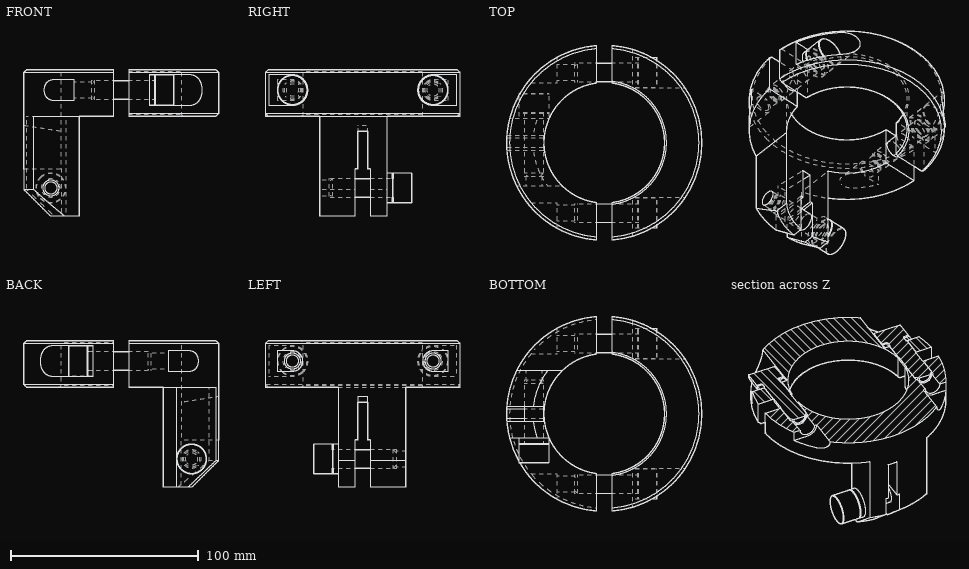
import cadquery as cq

ring_radius = 52.0
bore_radius = 32.0
ring_height = 25.0
split_gap = 8.0
rim_chamfer = 1.7
bore_chamfer = 1.0

leg_front_y = -23.0
leg_back_y = 13.0
leg_drop = 53.0
leg_chamfer = 14.1

slot_width = 5.1
slot_wide_width = split_gap
slot_wide_top_z = -28.0
slot_top_outer_z = -4.8
slot_top_inner_z = -7.9

shank_radius = 5.0
screw_length = 34.1
tip_chamfer = 1.8
tapped_radius = 4.3
head_radius = 8.0
head_height = 10.0
head_chamfer = 0.3
washer_thickness = 2.7
washer_clearance = 0.5

ring_screw_y = 37.4
ring_screw_z = 14.0
leg_screw_x = -37.4
leg_screw_z = -38.1
seat_x = 15.0
exit_x = -25.3
head_pocket_radius = 8.2
exit_pocket_radius = 5.5

side_signs = (-1, 1)
screw_tip_depth = screw_length - washer_thickness - washer_clearance


def box(x_min, x_max, y_min, y_max, z_min, z_max):
    size = (x_max - x_min, y_max - y_min, z_max - z_min)
    return cq.Workplane("XY").box(*size, centered=False).translate((x_min, y_min, z_min))


def revolve_section(points):
    """Turn a closed (radius, height) outline about the Z axis."""
    return cq.Workplane("XZ").polyline(points).close().revolve(360, (0, 0), (0, 1))


def place(body, seat):
    """Move a body built along +Z so that its z = 0 lies on a screw seat."""
    return cq.Workplane(obj=body.val().moved(seat.location))


ring_seats = [
    cq.Plane(origin=(seat_x, side * ring_screw_y, ring_screw_z), xDir=(0, 1, 0), normal=(1, 0, 0))
    for side in side_signs
]
leg_seat = cq.Plane(origin=(leg_screw_x, leg_back_y, leg_screw_z), xDir=(1, 0, 0), normal=(0, 1, 0))


def make_screw():
    """Cap screw with its axis on Z and the washer seat at z = 0."""
    head_z = washer_thickness + washer_clearance
    head_top = head_z + head_height
    tip_z = -screw_tip_depth
    return revolve_section([
        (0, tip_z),
        (shank_radius - tip_chamfer, tip_z),
        (shank_radius, tip_z + tip_chamfer),
        (shank_radius, head_z),
        (head_radius, head_z),
        (head_radius, head_top - head_chamfer),
        (head_radius - head_chamfer, head_top),
        (0, head_top),
    ])


def make_washer():
    return cq.Workplane("XY").circle(head_radius).circle(shank_radius).extrude(washer_thickness)


def make_screw_hole(exit_depth):
    """Cutter that fits the shank down to its tip and runs on narrower to exit_depth."""
    fitted = -screw_tip_depth
    return revolve_section([
        (0, -exit_depth),
        (tapped_radius, -exit_depth),
        (tapped_radius, fitted),
        (shank_radius, fitted),
        (shank_radius, 0),
        (0, 0),
    ])


def make_pocket(radius, x_min, x_max, side):
    """Cutter along X, round towards the ring axis and open to the outside in Y."""
    y_far = side * (ring_radius + radius)
    y_min, y_max = sorted((side * ring_screw_y, y_far))
    round_end = (
        cq.Workplane("YZ", origin=(x_min, 0, 0))
        .center(side * ring_screw_y, ring_screw_z)
        .circle(radius)
        .extrude(x_max - x_min)
    )
    return round_end.union(
        box(x_min, x_max, y_min, y_max, ring_screw_z - radius, ring_screw_z + radius)
    )


def cut_ring_screws(half):
    """Cut the holes and end pockets of both ring screws out of a ring half."""
    for side, seat in zip(side_signs, ring_seats):
        half = half.cut(place(make_screw_hole(seat_x - exit_x), seat))
        half = half.cut(make_pocket(head_pocket_radius, seat_x, ring_radius, side))
        half = half.cut(make_pocket(exit_pocket_radius, -ring_radius, exit_x, side))
    return half


def make_leg_slot():
    """Cutter for the leg slot, with a conical roof and a wider lower end."""
    roofed_tube = revolve_section([
        (0, -leg_drop),
        (ring_radius, -leg_drop),
        (ring_radius, slot_top_outer_z),
        (bore_radius, slot_top_inner_z),
        (0, slot_top_inner_z),
    ])
    half_slot = slot_width / 2
    half_wide = slot_wide_width / 2
    narrow = roofed_tube.intersect(box(-ring_radius, 0, -half_slot, half_slot, -leg_drop, 0))
    wide = box(-ring_radius, 0, -half_wide, half_wide, -leg_drop, slot_wide_top_z)
    return narrow.union(wide)


def make_left_half():
    """Ring half with a plain bore, carrying the split clamp leg."""
    ring = revolve_section([
        (bore_radius, 0),
        (ring_radius, 0),
        (ring_radius, ring_height - rim_chamfer),
        (ring_radius - rim_chamfer, ring_height),
        (bore_radius, ring_height),
    ])
    half = ring.intersect(
        box(-ring_radius, -split_gap / 2, -ring_radius, ring_radius, 0, ring_height)
    )
    tube = revolve_section([
        (bore_radius, -leg_drop),
        (ring_radius - leg_chamfer, -leg_drop),
        (ring_radius, -leg_drop + leg_chamfer),
        (ring_radius, 0),
        (bore_radius, 0),
    ])
    leg = tube.intersect(
        box(-ring_radius, 0, leg_front_y, leg_back_y, -leg_drop, 0)
    )
    leg = leg.cut(make_leg_slot())
    leg = leg.cut(place(make_screw_hole(leg_back_y - leg_front_y), leg_seat))
    return cut_ring_screws(half).union(leg)


def make_right_half():
    """Ring half with chamfered rims and bore edges."""
    ring = revolve_section([
        (bore_radius + bore_chamfer, 0),
        (ring_radius - rim_chamfer, 0),
        (ring_radius, rim_chamfer),
        (ring_radius, ring_height - rim_chamfer),
        (ring_radius - rim_chamfer, ring_height),
        (bore_radius + bore_chamfer, ring_height),
        (bore_radius, ring_height - bore_chamfer),
        (bore_radius, bore_chamfer),
    ])
    half = ring.intersect(
        box(split_gap / 2, ring_radius, -ring_radius, ring_radius, 0, ring_height)
    )
    return cut_ring_screws(half)


left_half = make_left_half()
right_half = make_right_half()
screws = []
washers = []
for screw_seat in [*ring_seats, leg_seat]:
    screws.append(place(make_screw(), screw_seat).val())
    washers.append(place(make_washer(), screw_seat).val())

result = cq.Compound.makeCompound([left_half.val(), right_half.val(), *screws, *washers])